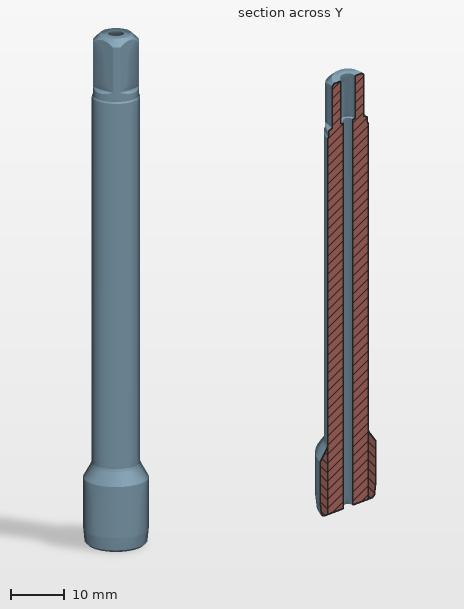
import cadquery as cq

LENGTH = 100.0
SHAFT_DIAMETER = 9.0

DRIVE_WIDTH = 7.0
DRIVE_DIAMETER = 8.6
DRIVE_TIP_DIAMETER = 6.0
DRIVE_FLAT_LENGTH = 10.2
RUNOUT_DROP = 0.5
NECK_LENGTH = 12.0
NECK_CHAMFER_LENGTH = 0.3

BORE_DIAMETER = 3.0
BORE_DEPTH = 10.0
THROUGH_DIAMETER = 2.0

SOCKET_DIAMETER = 12.2
SOCKET_BASE_DIAMETER = 11.7
SOCKET_TOP_DIAMETER = 9.4
SOCKET_HEIGHT = 16.0
SOCKET_RIM_HEIGHT = 0.5
SOCKET_SHOULDER_HEIGHT = 13.0
SOCKET_TAPER_HEIGHT = 3.0
BASE_CHAMFER = 0.5

TIP_RADIUS = DRIVE_TIP_DIAMETER / 2
DRIVE_RADIUS = DRIVE_DIAMETER / 2
SHAFT_RADIUS = SHAFT_DIAMETER / 2
SOCKET_RADIUS = SOCKET_DIAMETER / 2
BASE_RADIUS = SOCKET_BASE_DIAMETER / 2


def revolved(points):
    """Solid of revolution about Z from (radius, height) points."""
    return cq.Workplane("XZ").polyline(points).close().revolve(360, (0, 0, 0), (0, 1, 0))


def flat_cutter(angle):
    """Tool that mills one drive flat, with a floor sloping down and outward."""
    inner = DRIVE_WIDTH / 2
    outer = SHAFT_DIAMETER
    floor = LENGTH - DRIVE_FLAT_LENGTH
    slope = RUNOUT_DROP / (DRIVE_RADIUS - inner)
    profile = [
        (inner, LENGTH),
        (inner, floor),
        (outer, floor - slope * (outer - inner)),
        (outer, LENGTH),
    ]
    cutter = cq.Workplane("XZ").polyline(profile).close().extrude(SHAFT_RADIUS, both=True)
    return cutter.rotate((0, 0, 0), (0, 0, 1), angle)


def make_shaft():
    """Round shaft with a chamfered square drive and a stepped axial bore."""
    neck_base = LENGTH - NECK_LENGTH
    shaft = revolved([
        (0, 0),
        (SHAFT_RADIUS, 0),
        (SHAFT_RADIUS, neck_base - NECK_CHAMFER_LENGTH),
        (DRIVE_RADIUS, neck_base),
        (DRIVE_RADIUS, LENGTH - (DRIVE_RADIUS - TIP_RADIUS)),
        (TIP_RADIUS, LENGTH),
        (0, LENGTH),
    ])
    for angle in (0, 90, 180, 270):
        shaft = shaft.cut(flat_cutter(angle))
    through_hole = cq.Workplane("XY").circle(THROUGH_DIAMETER / 2).extrude(LENGTH)
    bore = (
        cq.Workplane("XY")
        .workplane(offset=LENGTH - BORE_DEPTH)
        .circle(BORE_DIAMETER / 2)
        .extrude(BORE_DEPTH)
    )
    return shaft.cut(through_hole).cut(bore)


def make_socket():
    """Sleeve around the lower end of the shaft, with a conical shoulder and a tapered base."""
    return revolved([
        (SHAFT_RADIUS, 0),
        (BASE_RADIUS - BASE_CHAMFER, 0),
        (BASE_RADIUS, BASE_CHAMFER),
        (SOCKET_RADIUS, SOCKET_TAPER_HEIGHT),
        (SOCKET_RADIUS, SOCKET_SHOULDER_HEIGHT),
        (SOCKET_TOP_DIAMETER / 2, SOCKET_HEIGHT - SOCKET_RIM_HEIGHT),
        (SHAFT_RADIUS, SOCKET_HEIGHT),
    ])


shaft = make_shaft()
socket = make_socket()

result = cq.Compound.makeCompound([shaft.val(), socket.val()])